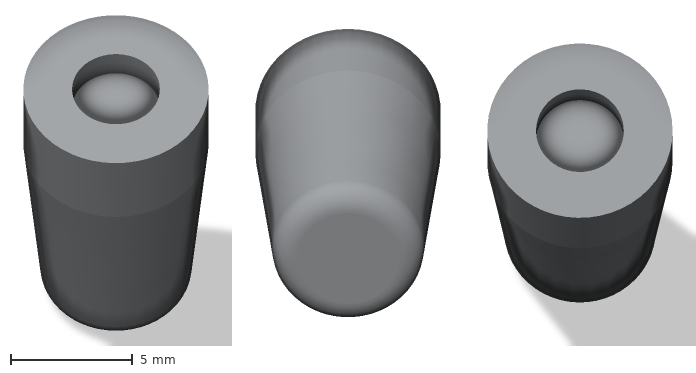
import cadquery as cq
import math

height = 13.0
outer_diameter = 7.6
collar_height = 3.67
taper_angle = math.radians(4.7)
tip_round_radius = 1.0
hole_diameter = 3.6
hole_depth = 1.3

outer_radius = outer_diameter / 2
shoulder_height = height - collar_height
tip_edge_height = tip_round_radius * (1 - math.sin(taper_angle))
tip_edge_radius = outer_radius - (shoulder_height - tip_edge_height) * math.tan(taper_angle)
end_face_radius = tip_edge_radius - tip_round_radius * math.cos(taper_angle)

body = (
    cq.Workplane("XZ")
    .lineTo(end_face_radius, 0)
    .tangentArcPoint((tip_edge_radius, tip_edge_height), relative=False)
    .lineTo(outer_radius, shoulder_height)
    .lineTo(outer_radius, height)
    .lineTo(0, height)
    .close()
    .revolve(360, (0, 0, 0), (0, 1, 0))
)

hole = (
    cq.Workplane("XY")
    .workplane(offset=height - hole_depth)
    .circle(hole_diameter / 2)
    .extrude(hole_depth)
)

result = body.cut(hole)